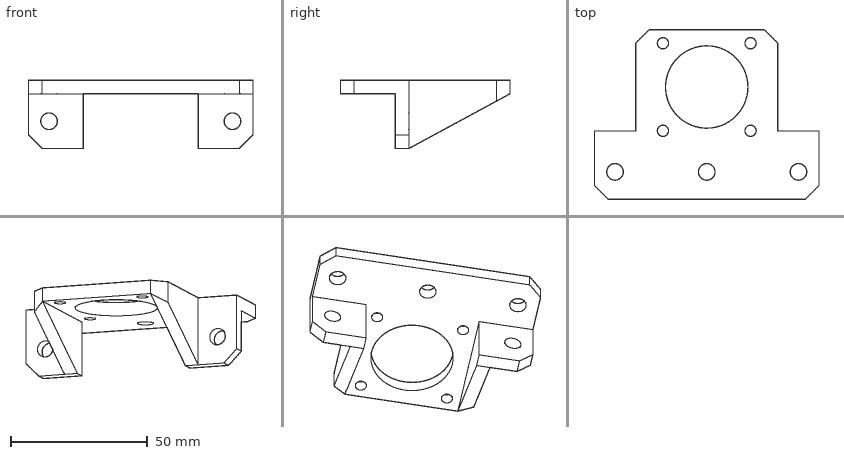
import cadquery as cq

base_width = 82.0
base_depth = 25.0
total_depth = 62.0
total_height = 25.0
wall = 5.0
corner_cut = 5.0
motor_plate_width = 52.0
tab_width = 20.0

motor_bore_diameter = 30.0
screw_diameter = 4.0
screw_spacing = 32.0
mount_hole_diameter = 6.0
mount_hole_spacing = 67.0
base_hole_y = 10.0
tab_hole_depth = 15.0

half_base = base_width / 2
half_motor_plate = motor_plate_width / 2
motor_y = total_depth - corner_cut - screw_spacing / 2
mount_hole_x = mount_hole_spacing / 2


def block(x_size, y_size, z_size, y_front):
    """Box centred on x, with its top at z = 0 and its front at y_front."""
    return (
        cq.Workplane("XY")
        .box(x_size, y_size, z_size, centered=(True, False, False))
        .translate((0, y_front, -z_size))
    )


def make_plate():
    """T-shaped plate with cut corners at its front and back ends."""
    base = block(base_width, base_depth, wall, 0).edges("|Z and <Y").chamfer(corner_cut)
    motor_plate = block(motor_plate_width, total_depth, wall, 0)
    motor_plate = motor_plate.edges("|Z and >Y").chamfer(corner_cut)
    return base.union(motor_plate)


def make_tab(side):
    """Hanging mounting tab; side is -1 for left and 1 for right."""
    outer_x = side * half_base
    inner_x = side * (half_base - tab_width)
    return (
        cq.Workplane("XZ", origin=(0, base_depth, 0))
        .moveTo(inner_x, 0)
        .lineTo(outer_x, 0)
        .lineTo(outer_x, corner_cut - total_height)
        .lineTo(outer_x - side * corner_cut, -total_height)
        .lineTo(inner_x, -total_height)
        .close()
        .extrude(wall)
    )


def make_ribs():
    """Sloping side ribs, trimmed by the cut corners of the motor plate."""
    profile = (
        cq.Workplane("YZ", origin=(-half_motor_plate, 0, 0))
        .moveTo(base_depth, 0)
        .lineTo(total_depth, 0)
        .lineTo(total_depth, -wall)
        .lineTo(base_depth, -total_height)
        .close()
        .extrude(motor_plate_width)
    )
    trimmed = profile.intersect(
        block(motor_plate_width, total_depth, total_height, 0)
        .edges("|Z and >Y")
        .chamfer(corner_cut)
    )
    gap = block(motor_plate_width - 2 * wall, total_depth, total_height, 0)
    return trimmed.cut(gap)


def vertical_holes(points, diameter):
    return cq.Workplane("XY").pushPoints(points).circle(diameter / 2).extrude(-wall)


body = make_plate().union(make_ribs())
for side in (-1, 1):
    body = body.union(make_tab(side))

body = body.cut(vertical_holes([(0, motor_y)], motor_bore_diameter))
screw_points = [
    (x_side * screw_spacing / 2, motor_y + y_side * screw_spacing / 2)
    for x_side in (-1, 1)
    for y_side in (-1, 1)
]
body = body.cut(vertical_holes(screw_points, screw_diameter))

base_points = [(x, base_hole_y) for x in (-mount_hole_x, 0, mount_hole_x)]
body = body.cut(vertical_holes(base_points, mount_hole_diameter))
tab_holes = (
    cq.Workplane("XZ", origin=(0, base_depth, 0))
    .pushPoints([(side * mount_hole_x, -tab_hole_depth) for side in (-1, 1)])
    .circle(mount_hole_diameter / 2)
    .extrude(wall)
)

result = body.cut(tab_holes)